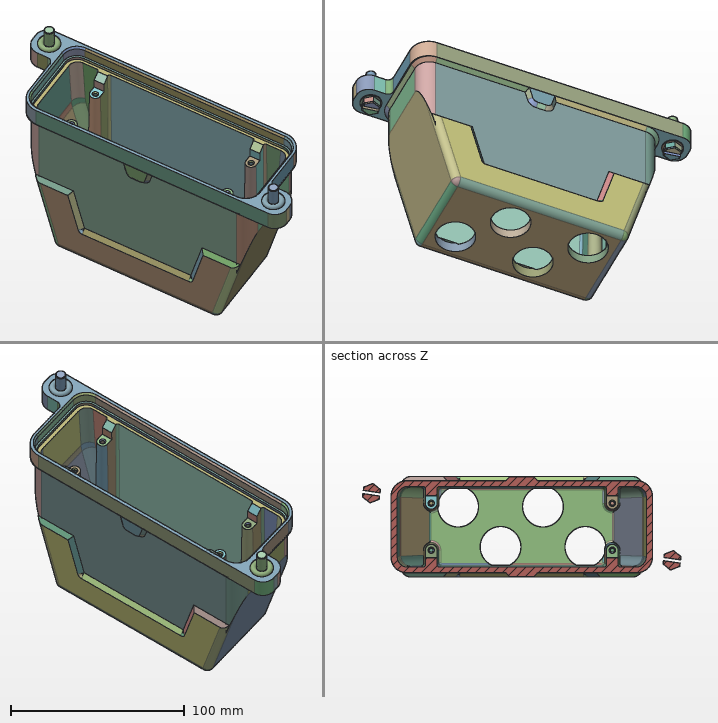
import cadquery as cq
import math

total_height = 122.7
rim_top = 111.0
flange_bottom = 98.8
flange_bevel = 2.3
flange_bevel_angle = 45.0

pick_margin = 1.0

flange_length = 156.3
flange_width = 58.0
flange_radius = 11.5
ear_reach = 96.5
ear_width = 19.5
ear_radius = 8.0
ear_blend = 3.5
ear_root_x = 57.9
screw_x = 86.5
screw_y = flange_width / 2 - ear_width / 2

body_length = 150.5
body_width = 53.0
body_radius = 9.0
end_angle = 15.0
end_slope = math.tan(math.radians(end_angle))
bend_height = 76.5
bottom_length = body_length - 2 * bend_height * end_slope
lower_edge_radius = 4.2

pad_depth = (flange_width - body_width) / 2
pad_edge_angle = 49.0
pad_top = 52.7
pad_overshoot = 19.3
pad_notch_floor = 24.7
pad_notch_half_top = 43.0
pad_notch_half_floor = pad_notch_half_top - (pad_top - pad_notch_floor) * end_slope
tab_recess = 0.2
tab_depth = pad_depth - tab_recess
tab_bottom = 86.5
tab_half_top = 10.5
tab_edge_angle = 45.0
tab_corner_radius = 5.8

mouth_length = 153.2
mouth_width = 54.2
mouth_radius = 10.0
mouth_bevel = 1.0
mouth_bevel_height = 1.4
seat_height = 104.0
step_inset = 2.5
step_height = 102.1

cavity_length_top = 144.0
cavity_length_bend = 140.1
cavity_width_top = 46.3
cavity_width_floor = 44.0
cavity_bend_height = 70.0
floor_height = 6.2
cavity_length_floor = cavity_length_bend - 2 * (cavity_bend_height - floor_height) * end_slope
cavity_radius = 5.8
cavity_bend_radius = 23.2
floor_radius = 1.0

boss_x = 52.1
boss_y = 13.5
boss_half_width = 3.3
boss_draft = 0.8
boss_top = 92.6
boss_hole_diameter = 2.3
boss_sink_diameter = 3.7
boss_sink_angle = 45.0
boss_sink_depth = (boss_sink_diameter - boss_hole_diameter) / 2
boss_hole_depth = 15.5
boss_blend = 1.4
boss_wall_patch = 17.4
ramp_outer_y = 21.8
ramp_inner_y = 17.8
ramp_height = 3.5

entry_diameter = 23.4
entry_pitch = 48.8
entry_shift = entry_pitch / 4
entry_y = 11.5

shank_diameter = 6.0
shank_chamfer = 0.4
collar_diameter = 13.5
collar_height = 1.7
washer_diameter = 12.5
washer_thickness = 0.5
head_bottom = 93.6
head_corner_diameter = 11.4
head_sides = 6
head_turn = -8.5
head_chamfer = 0.5
slot_width = 1.7
slot_depth = 2.0


def rounded_block(length, width, radius, bottom, height):
    """Upright block with rounded vertical corners, centred on the Z axis."""
    block = cq.Workplane("XY").workplane(offset=bottom).rect(length, width).extrude(height)
    return block.edges("|Z").fillet(radius)


def flared_block(length, width, radius, bottom, height, flare_angle):
    """Rounded block that widens upwards, sized at its bottom and centred on the Z axis."""
    outline = cq.Sketch().rect(length, width).vertices().fillet(radius)
    base = cq.Workplane("XY").workplane(offset=bottom).placeSketch(outline)
    return base.extrude(height, taper=-flare_angle)


def profile_along_y(points, width):
    """Prism of an XZ outline, centred on the XZ plane."""
    return cq.Workplane("XZ").polyline(points).close().extrude(width / 2, both=True)


def profile_along_x(points, length):
    """Prism of a YZ outline, centred on the YZ plane."""
    return cq.Workplane("YZ").polyline(points).close().extrude(length / 2, both=True)


def tapered_side_boss(outline, depth, edge_angle):
    """Raised shape with sloped edges on the -Y wall, repeated on the +Y wall."""
    wall = cq.Workplane("XZ", origin=(0, -body_width / 2, 0))
    boss = wall.placeSketch(outline).extrude(depth, taper=edge_angle)
    return boss.union(boss.mirror("XZ"))


def make_hood():
    outline = [
        (-bottom_length / 2, 0),
        (bottom_length / 2, 0),
        (body_length / 2, bend_height),
        (body_length / 2, flange_bottom),
        (-body_length / 2, flange_bottom),
        (-body_length / 2, bend_height),
    ]
    envelope = profile_along_y(outline, flange_width)
    lower_zone = cq.selectors.BoxSelector(
        (-body_length, -body_width, -pick_margin),
        (body_length, body_width, bend_height - pick_margin),
    )
    envelope = envelope.edges(lower_zone).fillet(lower_edge_radius)

    core = rounded_block(body_length, body_width, body_radius, 0, flange_bottom)

    pad_side = body_length / 2 + pad_overshoot
    pad_outline = [
        (-pad_side, -pad_overshoot),
        (pad_side, -pad_overshoot),
        (pad_side, pad_top),
        (pad_notch_half_top, pad_top),
        (pad_notch_half_floor, pad_notch_floor),
        (-pad_notch_half_floor, pad_notch_floor),
        (-pad_notch_half_top, pad_top),
        (-pad_side, pad_top),
        (-pad_side, -pad_overshoot),
    ]
    pads = tapered_side_boss(cq.Sketch().polygon(pad_outline), pad_depth, pad_edge_angle)
    return core.union(pads).intersect(envelope)


def make_catch_tabs():
    top = rim_top
    half_top = tab_half_top + (top - flange_bottom) * end_slope
    half_bottom = tab_half_top - (flange_bottom - tab_bottom) * end_slope
    corners = [
        (-half_top, top),
        (-half_bottom, tab_bottom),
        (half_bottom, tab_bottom),
        (half_top, top),
        (-half_top, top),
    ]
    outline = cq.Sketch().polygon(corners).vertices("<Y").fillet(tab_corner_radius)
    return tapered_side_boss(outline, tab_depth, tab_edge_angle)


def make_flange():
    height = rim_top - flange_bottom
    flange = rounded_block(flange_length, flange_width, flange_radius, flange_bottom, height)
    ear_length = ear_reach - ear_root_x
    for side in (-1, 1):
        ear = rounded_block(ear_length, ear_width, ear_radius, flange_bottom, height)
        ear_centre = side * (ear_reach - ear_length / 2)
        flange = flange.union(ear.translate((ear_centre, -side * screw_y, 0)))
    for side in (-1, 1):
        filler_length = 2 * flange_radius
        filler_width = ear_width / 2
        filler = cq.Workplane("XY").box(filler_length, filler_width, height)
        filler_x = side * (flange_length / 2 - filler_length / 2)
        filler_y = -side * (flange_width - filler_width) / 2
        flange = flange.union(filler.translate((filler_x, filler_y, flange_bottom + height / 2)))
    flange = flange.clean()
    for side in (-1, 1):
        corner_x = side * flange_length / 2
        corner_y = -side * (flange_width / 2 - ear_width)
        corner_zone = cq.selectors.BoxSelector(
            (corner_x - pick_margin, corner_y - pick_margin, flange_bottom),
            (corner_x + pick_margin, corner_y + pick_margin, rim_top),
        )
        flange = flange.edges("|Z").edges(corner_zone).fillet(ear_blend)
    bevel = flared_block(
        body_length,
        body_width,
        body_radius,
        flange_bottom - flange_bevel,
        flange_bevel,
        flange_bevel_angle,
    )
    return flange.union(bevel)


def make_mouth():
    """Stepped opening that narrows from the rim down to the cavity."""
    wall_length = mouth_length - 2 * mouth_bevel
    wall_width = mouth_width - 2 * mouth_bevel
    wall_radius = mouth_radius - mouth_bevel
    wall_top = rim_top - mouth_bevel_height
    bevel_angle = math.degrees(math.atan(mouth_bevel / mouth_bevel_height))
    bevel = flared_block(
        wall_length, wall_width, wall_radius, wall_top, mouth_bevel_height, bevel_angle
    )
    wall = rounded_block(wall_length, wall_width, wall_radius, seat_height, wall_top - seat_height)
    step = rounded_block(
        wall_length - step_inset,
        wall_width - step_inset,
        wall_radius - step_inset / 2,
        step_height,
        seat_height - step_height,
    )
    return bevel.union(wall).union(step)


def make_boss():
    """Boss in the +X +Y quadrant: a drafted half-round pillar backed by a taller ramped rib."""
    outer_y = body_width / 2
    pillar = (
        cq.Workplane("XY")
        .workplane(offset=step_height)
        .moveTo(boss_x - boss_half_width, outer_y)
        .lineTo(boss_x - boss_half_width, boss_y)
        .threePointArc((boss_x, boss_y - boss_half_width), (boss_x + boss_half_width, boss_y))
        .lineTo(boss_x + boss_half_width, outer_y)
        .close()
        .extrude(-step_height, taper=-boss_draft)
    )
    wall_slope = (cavity_width_top - cavity_width_floor) / 2 / (step_height - floor_height)
    wall_patch = profile_along_x(
        [
            (cavity_width_floor / 2 - floor_height * wall_slope, 0),
            (cavity_width_top / 2, step_height),
            (flange_width / 2, step_height),
            (flange_width / 2, 0),
        ],
        boss_wall_patch,
    ).translate((boss_x, 0, 0))
    boss = pillar.union(wall_patch)
    joint_reach = boss_half_width + 2 * pick_margin
    joint_zone = cq.selectors.BoxSelector(
        (boss_x - joint_reach, cavity_width_floor / 2, floor_height),
        (boss_x + joint_reach, cavity_width_top / 2, step_height - pick_margin),
    )
    boss = boss.edges(joint_zone).fillet(boss_blend)
    clearance = [
        (0, boss_top),
        (ramp_inner_y, boss_top),
        (ramp_inner_y, step_height - ramp_height),
        (ramp_outer_y, step_height),
        (ramp_outer_y, rim_top),
        (0, rim_top),
    ]
    return boss.cut(profile_along_x(clearance, ear_reach * 2))


def make_cavity():
    long_outline = [
        (-cavity_length_floor / 2, floor_height),
        (cavity_length_floor / 2, floor_height),
        (cavity_length_bend / 2, cavity_bend_height),
        (cavity_length_top / 2, step_height),
        (-cavity_length_top / 2, step_height),
        (-cavity_length_bend / 2, cavity_bend_height),
    ]
    cross_outline = [
        (-cavity_width_floor / 2, floor_height),
        (cavity_width_floor / 2, floor_height),
        (cavity_width_top / 2, step_height),
        (-cavity_width_top / 2, step_height),
    ]
    pocket = profile_along_y(long_outline, flange_width)
    bend_zone = cq.selectors.BoxSelector(
        (-body_length, -body_width, cavity_bend_height - pick_margin),
        (body_length, body_width, cavity_bend_height + pick_margin),
    )
    pocket = pocket.edges("|Y").edges(bend_zone).fillet(cavity_bend_radius)
    pocket = pocket.intersect(profile_along_x(cross_outline, ear_reach * 2))
    pocket = pocket.edges("not(|X or |Y)").fillet(cavity_radius)
    boss = make_boss()
    for part in (boss, boss.mirror("YZ")):
        pocket = pocket.cut(part).cut(part.mirror("XZ"))
    return pocket.faces("<Z").edges().fillet(floor_radius)


def make_screw():
    """Slotted hex-head screw hanging below its ear, with its shank standing above the rim."""
    half_facet = 360 / head_sides / 2
    head = (
        cq.Workplane("XY")
        .workplane(offset=head_bottom)
        .transformed(rotate=(0, 0, half_facet))
        .polygon(head_sides, head_corner_diameter)
        .extrude(flange_bottom - head_bottom)
        .faces("<Z")
        .chamfer(head_chamfer)
    )
    slot = (
        cq.Workplane("XY")
        .workplane(offset=head_bottom)
        .rect(head_corner_diameter, slot_width)
        .extrude(slot_depth)
    )
    head = head.cut(slot).rotate((0, 0, 0), (0, 0, 1), head_turn)
    washer = (
        cq.Workplane("XY")
        .workplane(offset=flange_bottom - washer_thickness)
        .circle(washer_diameter / 2)
        .extrude(washer_thickness)
    )
    collar_inner = shank_diameter / 2
    collar_outer = collar_diameter / 2
    collar_crest = ((collar_inner + collar_outer) / 2, rim_top + collar_height)
    collar = (
        cq.Workplane("XZ")
        .moveTo(collar_inner, rim_top)
        .threePointArc(collar_crest, (collar_outer, rim_top))
        .close()
        .revolve(360, (0, 0, 0), (0, 1, 0))
    )
    shank = (
        cq.Workplane("XY")
        .workplane(offset=rim_top)
        .circle(shank_diameter / 2)
        .extrude(total_height - rim_top)
        .faces(">Z")
        .chamfer(shank_chamfer)
    )
    return head.union(washer).union(collar).union(shank)


def cut_boss_holes(body):
    corners = [(sx * boss_x, sy * boss_y) for sx in (-1, 1) for sy in (-1, 1)]
    tops = cq.Workplane("XY").workplane(offset=boss_top).pushPoints(corners)
    holes = tops.circle(boss_hole_diameter / 2).extrude(-boss_hole_depth)
    sinks = tops.circle(boss_sink_diameter / 2).extrude(-boss_sink_depth, taper=boss_sink_angle)
    return body.cut(holes).cut(sinks)


def cut_cable_entries(body):
    centres = [
        (side * entry_pitch / 2 - row * entry_shift, row * entry_y)
        for row in (-1, 1)
        for side in (-1, 1)
    ]
    entries = (
        cq.Workplane("XY")
        .pushPoints(centres)
        .circle(entry_diameter / 2)
        .extrude(floor_height + floor_radius)
    )
    return body.cut(entries)


result = make_hood().union(make_flange()).union(make_catch_tabs())
result = result.cut(make_mouth()).cut(make_cavity())
result = cut_boss_holes(result)
result = cut_cable_entries(result)
for side in (-1, 1):
    result = result.union(make_screw().translate((side * screw_x, -side * screw_y, 0)))